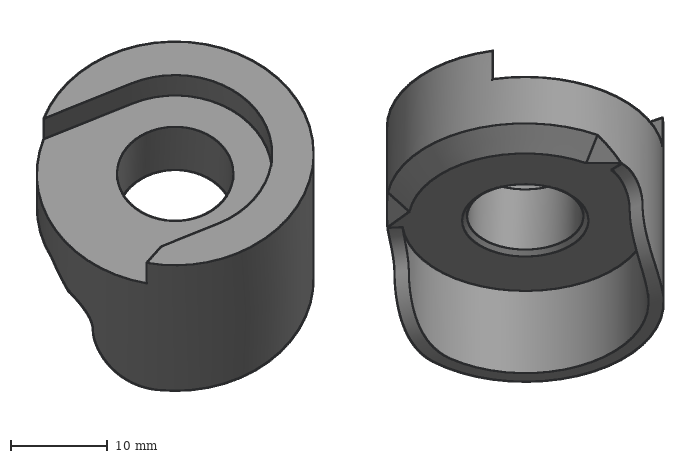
import cadquery as cq
import math

outer_radius = 14.28
height = 22.0
bore_radius = 6.0
bore_chamfer = 0.5

pocket_radius = 10.0
pocket_depth = 3.57
flare_start_y = -6.57
flare_run_x = 4.0
flare_run_y = 7.6

skirt_thickness = 1.57
skirt_radius = outer_radius - skirt_thickness
ceiling_z = 10.35

opening_center_angle = 213.5
opening_half_angle = 83.5
lower_round = 6.97
upper_round = ceiling_z - lower_round

chamfer_size = 2.23
chamfer_half_angle = 57.0
runout_angle = 12.5

clearance = 1.43


def revolve_sector(profile, half_angle):
    """Revolve an (r, z) profile through +/- half_angle about the +X direction."""
    solid = cq.Workplane("XZ").polyline(profile).close().revolve(2 * half_angle, (0, 0), (0, 1))
    middle = solid.val().Center()
    return solid.rotate((0, 0, 0), (0, 0, 1), -math.degrees(math.atan2(middle.y, middle.x)))


def tetrahedron(a, b, c, d):
    """Solid with four triangular faces between four corner points."""
    faces = [
        cq.Face.makeFromWires(cq.Wire.makePolygon([cq.Vector(*p) for p in corners], close=True))
        for corners in ((a, b, c), (a, b, d), (a, c, d), (b, c, d))
    ]
    solid = cq.Solid.makeSolid(cq.Shell.makeShell(faces))
    return cq.Workplane(solid.fix())


def turned(shape, angle):
    return shape.rotate((0, 0, 0), (0, 0, 1), angle)


def mirrored_pair(shape):
    return shape.union(shape.mirror("XZ"))


def make_pocket():
    floor_z = height - pocket_depth
    reach = outer_radius + clearance
    flare_reach = flare_start_y + reach
    flare_end_x = pocket_radius + flare_run_x * flare_reach / flare_run_y
    return (
        cq.Workplane("XY", origin=(0, 0, floor_z))
        .moveTo(-pocket_radius, -reach)
        .lineTo(-pocket_radius, 0)
        .threePointArc((0, pocket_radius), (pocket_radius, 0))
        .lineTo(pocket_radius, flare_start_y)
        .lineTo(flare_end_x, -reach)
        .close()
        .extrude(pocket_depth + clearance)
    )


def make_opening_end():
    """S-shaped end of the opening, cut straight outward along +X."""
    inner = skirt_radius - 2 * clearance
    diagonal = math.sqrt(0.5)
    start_y = -upper_round - clearance
    return (
        cq.Workplane("YZ", origin=(inner, 0, 0))
        .moveTo(start_y, ceiling_z)
        .lineTo(-upper_round, ceiling_z)
        .threePointArc(
            (-upper_round * (1 - diagonal), lower_round + upper_round * diagonal),
            (0, lower_round),
        )
        .threePointArc(
            (lower_round * (1 - diagonal), lower_round * (1 - diagonal)),
            (lower_round, 0),
        )
        .lineTo(lower_round, -clearance)
        .lineTo(start_y, -clearance)
        .close()
        .extrude(outer_radius + clearance - inner)
    )


def make_opening():
    """Skirt opening, centred on +X."""
    inner = skirt_radius - clearance
    outer = outer_radius + clearance
    middle_half_angle = opening_half_angle - math.degrees(math.asin(upper_round / outer_radius))
    middle = revolve_sector(
        [(inner, -clearance), (outer, -clearance), (outer, ceiling_z), (inner, ceiling_z)],
        middle_half_angle,
    )
    return middle.union(mirrored_pair(turned(make_opening_end(), opening_half_angle)))


def make_chamfer():
    """Rim chamfer with its two run-outs, centred on +X."""
    root = outer_radius - chamfer_size
    reach = chamfer_size + clearance
    cone = revolve_sector(
        [(root, ceiling_z), (root + reach, ceiling_z), (root + reach, ceiling_z + reach)],
        chamfer_half_angle,
    )
    stretch = reach / chamfer_size
    runout_x = outer_radius * math.cos(math.radians(runout_angle)) - root
    runout_y = outer_radius * math.sin(math.radians(runout_angle))
    runout = tetrahedron(
        (root, 0, ceiling_z),
        (root + stretch * runout_x, stretch * runout_y, ceiling_z),
        (root + reach, 0, ceiling_z + reach),
        (root + reach, 0, ceiling_z),
    )
    return cone.union(mirrored_pair(turned(runout, chamfer_half_angle)))


disc = (
    cq.Workplane("XY", origin=(0, 0, ceiling_z))
    .circle(outer_radius)
    .circle(bore_radius)
    .extrude(height - ceiling_z)
    .faces("<Z")
    .edges(cq.selectors.RadiusNthSelector(0))
    .chamfer(bore_chamfer)
    .cut(make_pocket())
    .cut(turned(make_chamfer(), opening_center_angle))
)
skirt = (
    cq.Workplane("XY")
    .circle(outer_radius)
    .circle(skirt_radius)
    .extrude(ceiling_z)
    .cut(turned(make_opening(), opening_center_angle))
)

result = disc.union(skirt)